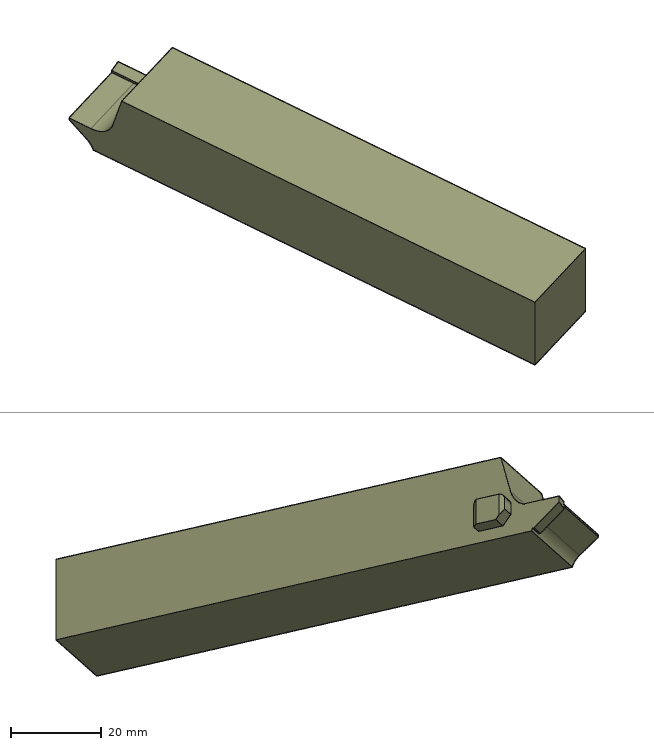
import cadquery as cq
import math

length = 125.0
width = 20.0
height = 20.0

nose_x = 0.4
shelf_z = 6.5
back_slope_angle = 75
back_slope_top_x = 14.5
throat_radius = 6.0
nose_edge_z = 6.0
relief_end_x = 5.1
relief_end_z = 2.5
heel_x = 6.9

tip_width = 3.1
tip_top_z = 7.1
tip_land_z = 5.6
tip_relief_x = 6.2
tip_relief_z = 0.6
tip_back_x = 8.8
tip_back_skew = 0.4

block_left = 12.0
block_right = 20.0
block_bottom = 2.9
block_top = 9.0
block_height_y = 3.5
block_radius = 1.1
block_relief_z = 5.2
block_relief_run = 2.0
left_bevel_depth = 0.5
right_bevel_depth = 1.0


def extrude_along_y(outline, start_y, depth):
    """Extrude a closed XZ outline toward +Y from start_y."""
    return outline.extrude(-depth).translate((0, start_y, 0))


def make_holder():
    slope_run = (height - shelf_z) / math.tan(math.radians(back_slope_angle))
    throat_x = back_slope_top_x - slope_run
    outline = (
        cq.Workplane("XZ")
        .moveTo(nose_x, shelf_z)
        .lineTo(nose_x, nose_edge_z)
        .lineTo(relief_end_x, relief_end_z)
        .tangentArcPoint((heel_x, 0), relative=False)
        .lineTo(length, 0)
        .lineTo(length, height)
        .lineTo(back_slope_top_x, height)
        .lineTo(throat_x, shelf_z)
        .close()
    )
    holder = extrude_along_y(outline, 0, width)
    throat_edge = cq.selectors.NearestToPointSelector((throat_x, width / 2, shelf_z))
    return holder.edges(throat_edge).fillet(throat_radius)


def make_tip():
    profile = cq.Workplane("XZ").polyline([
        (0, tip_top_z),
        (0, tip_land_z),
        (tip_relief_x, tip_relief_z),
        (tip_back_x, tip_relief_z),
        (tip_back_x, tip_top_z),
    ]).close()
    plan = cq.Workplane("XY").polyline([
        (0, width),
        (nose_x, width - tip_width),
        (tip_back_x - tip_back_skew, width - tip_width),
        (tip_back_x, width),
    ]).close()
    tip = extrude_along_y(profile, width - tip_width, tip_width)
    return tip.intersect(plan.extrude(height))


def make_block():
    profile = cq.Workplane("XZ").polyline([
        (block_left, block_top),
        (block_left, block_relief_z),
        (block_left + block_relief_run, block_bottom),
        (block_right, block_bottom),
        (block_right, block_top),
    ]).close()
    block = extrude_along_y(profile, width, block_height_y)
    block = block.faces(">Z").edges("|Y").fillet(block_radius)
    outer_y = width + block_height_y
    plan = cq.Workplane("XY").polyline([
        (block_left, width),
        (block_left, outer_y - left_bevel_depth),
        (block_left + block_radius, outer_y),
        (block_right - block_radius, outer_y),
        (block_right, outer_y - right_bevel_depth),
        (block_right, width),
    ]).close()
    return block.intersect(plan.extrude(height))


result = make_holder().union(make_tip()).union(make_block())